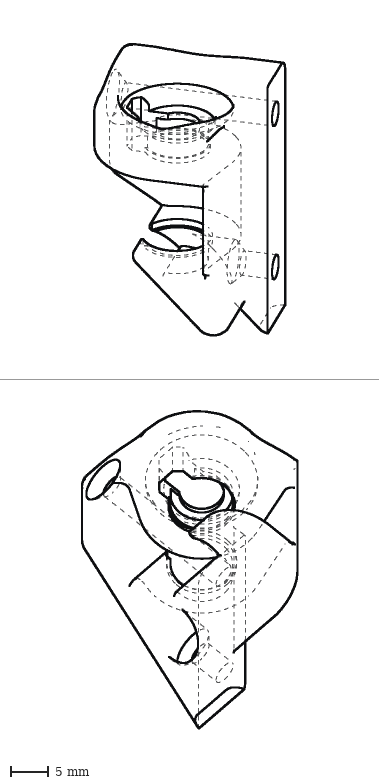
import cadquery as cq
import math

length = 22.5
depth = 23.0
height = 37.0
body_length = 19.8
flange_front = 14.05
slope_sum = 20.83
roof_z = 28.05
floor_z = 15.02

nose_radius = 10.0
keel_radius = 5.0
edge_radius = 2.0
back_radius = 1.5
crook_radius = 1.0
lip_radius = 0.48
lip_end_gap = 0.05

axis_x = 11.0
axis_y = 10.5
dish_radius = 12.17
dish_arc = 6.35
seat_radius = 7.5
seat_z = 33.85
seat_lip = 0.95
cup_radius = 5.07
cup_z = 31.82
cup_chamfer = 1.0
cup_lip = 1.1
hole_diameter = 6.0
relief_radius = 4.18
relief_z = 30.9
relief_mouth_radius = 4.45
relief_mouth_z = 28.75
slot_width = 4.6
slot_end_x = 4.35
slot_chamfer = 1.0
pocket_radius = 4.15
pocket_z = 11.32
pocket_rim_radius = 4.7
pocket_rim_z = 14.05

recess_radius = 8.5
left_wall_angle = math.radians(30)
right_wall_angle = math.radians(15)
wall_corner_radius = 1.5
jaw_corner_radius = 0.8

screw_y = depth - 5.0
screw_diameter = 3.3
high_screw_z = 31.05
high_sink_diameter = 6.5
low_screw_z = 8.1
low_sink_diameter = 6.0
low_sink_x = 16.65

clear = 7.4
slope_mid = slope_sum / 2
recess_mid_z = (floor_z + roof_z) / 2
cap_mid_z = (roof_z + height) / 2
left_wall_x = axis_x - recess_radius * math.sin(left_wall_angle)
left_wall_y = axis_y + recess_radius * math.cos(left_wall_angle)
right_wall_x = axis_x + recess_radius * math.cos(right_wall_angle)
right_wall_y = axis_y - recess_radius * math.sin(right_wall_angle)


def left_wall_at(x):
    """Y of the left recess wall at a given X."""
    return left_wall_y - (left_wall_x - x) * math.tan(left_wall_angle)


def right_wall_at(y):
    """X of the right recess wall at a given Y."""
    return right_wall_x - (right_wall_y - y) * math.tan(right_wall_angle)


def rounded(shape, radius, *points):
    """Round the edges whose middles are nearest to the given points."""
    edges = [shape.edges(cq.selectors.NearestToPointSelector(point)).val() for point in points]
    return shape.newObject(edges).fillet(radius)


def slab(z_low, z_high, x_low=0.0, x_high=length):
    """Full-depth block between two heights."""
    corner = cq.Workplane("XY", origin=(x_low, 0, z_low))
    return corner.rect(x_high - x_low, depth, centered=False).extrude(z_high - z_low)


def on_axis(radius, z_low, z_high):
    """Cylinder on the bore axis."""
    return cq.Workplane("XY", origin=(axis_x, axis_y, z_low)).circle(radius).extrude(z_high - z_low)


def wedge(right, front):
    """Block from a front face to the back, with its underside sloping down to the right."""
    outline = cq.Workplane("XZ", origin=(0, depth, 0)).moveTo(right, height)
    outline = outline.lineTo(0, height).lineTo(0, slope_sum)
    if right > slope_sum:
        outline = outline.lineTo(slope_sum, 0)
    return outline.lineTo(right, max(slope_sum - right, 0)).close().extrude(depth - front)


def make_lower_block():
    """Body and flange with a rounded sloping underside, before the recess is opened."""
    body = rounded(wedge(body_length, 0), keel_radius, (slope_mid, 0, slope_mid))
    body = rounded(
        body,
        edge_radius,
        (body_length, 0, recess_mid_z),
        (body_length, keel_radius / 2, keel_radius),
        (body_length, depth / 2, slope_sum - body_length),
    )
    flange = rounded(wedge(length, flange_front), edge_radius, (slope_mid, flange_front, slope_mid))
    block = body.union(flange).clean().intersect(slab(0, roof_z + lip_radius))
    block = rounded(block, crook_radius, (body_length, flange_front, recess_mid_z))
    block = rounded(block, back_radius, (0, depth, roof_z), (slope_mid, depth, slope_mid))
    return rounded(block, edge_radius, (0, depth - clear, slope_sum))


def make_recess_cutter():
    """Full-height prism with the plan shape of the recess."""
    return (
        cq.Workplane("XY")
        .moveTo(left_wall_x, left_wall_y)
        .threePointArc((axis_x, axis_y + recess_radius), (right_wall_x, right_wall_y))
        .lineTo(right_wall_at(-clear), -clear)
        .lineTo(-clear, -clear)
        .lineTo(-clear, left_wall_at(-clear))
        .close()
        .extrude(height)
    )


def make_recess_walls(block):
    """Walls around the recess; they reach past its floor and roof to fill the rounded lips there."""
    walls = block.cut(make_recess_cutter())
    bottom_z = floor_z - 2 * lip_radius
    split_x = axis_x + clear / 2
    left = walls.intersect(slab(pocket_z, height, 0, split_x))
    wall_foot_x = left_wall_x / 2
    left = rounded(
        left,
        wall_corner_radius,
        (wall_foot_x, left_wall_at(wall_foot_x), slope_sum - wall_foot_x),
        (0, left_wall_at(0), roof_z - lip_radius),
    )
    left = left.intersect(slab(bottom_z, height))
    right = walls.intersect(slab(bottom_z, height, split_x))
    right = rounded(right, jaw_corner_radius, (right_wall_at(0), 0, recess_mid_z))
    return left.union(right).clean()


def make_shelf(block):
    """Lower part up to the recess floor, with a rounded lip along the open floor edges."""
    shelf = block.intersect(slab(0, floor_z))
    slope_x = slope_sum - floor_z
    split_x = body_length - edge_radius - lip_end_gap
    front = shelf.intersect(slab(0, floor_z, 0, split_x))
    front = rounded(
        front,
        lip_radius,
        (slope_x, depth / 2, floor_z),
        (slope_x + keel_radius / 2, keel_radius / 3, floor_z),
        (right_wall_at(0) - edge_radius, 0, floor_z),
    )
    return front.union(shelf.intersect(slab(0, floor_z, split_x)))


def make_dish():
    """Trumpet-shaped hollow whose side is an arc tangent to the flat top."""
    arc_z = height - dish_arc
    inner_radius = dish_radius - math.sqrt(dish_arc**2 - (seat_z - arc_z) ** 2)
    return (
        cq.Workplane("XZ")
        .moveTo(0, seat_z)
        .lineTo(inner_radius, seat_z)
        .radiusArc((dish_radius, height), dish_arc)
        .lineTo(dish_radius, height + clear)
        .lineTo(0, height + clear)
        .close()
        .revolve(360, (0, 0, 0), (0, 1, 0))
        .translate((axis_x, axis_y, 0))
    )


def make_cap():
    """Upper storey with the dished top, the bearing seat and its rounded edges."""
    cap = (
        cq.Workplane("XY", origin=(0, 0, roof_z))
        .moveTo(0, depth)
        .lineTo(0, nose_radius)
        .radiusArc((nose_radius, 0), -nose_radius)
        .lineTo(body_length, 0)
        .lineTo(body_length, flange_front)
        .lineTo(length, flange_front)
        .lineTo(length, depth)
        .close()
        .extrude(height - roof_z)
    )
    cap = rounded(cap, crook_radius, (body_length, flange_front, cap_mid_z))
    cap = cap.cut(make_dish())
    cap = rounded(cap, edge_radius, (0, depth, height), (length / 2, depth, height))
    cap = rounded(cap, back_radius, (0, depth, cap_mid_z))
    cap = rounded(cap, lip_radius, (body_length, flange_front / 2, height))
    cap = rounded(cap, lip_radius, (0, (nose_radius + depth) / 2, roof_z))

    column = rounded(slab(0, height, 0, body_length), edge_radius, (body_length, 0, height / 2))
    rear = slab(0, height).cut(slab(0, height).translate((0, flange_front - crook_radius - depth, 0)))
    cap = cap.intersect(column.union(rear))

    cap = cap.cut(on_axis(seat_radius, seat_z, height))
    longest_rim_arc_middle = (axis_x - seat_lip, axis_y + edge_radius, height - edge_radius)
    return rounded(cap, seat_lip, longest_rim_arc_middle)


def cut_cup_and_keyhole(part):
    """Cup below the seat, the hole with its relief and the slot that opens them to the left."""
    part = part.cut(on_axis(cup_radius, cup_z, seat_z))
    seat_face = part.faces(cq.selectors.NearestToPointSelector((axis_x, axis_y, seat_z)))
    part = seat_face.edges(cq.selectors.RadiusNthSelector(0)).chamfer(cup_chamfer)
    part = rounded(part, cup_lip, (axis_x, axis_y, seat_z), (axis_x, axis_y, seat_z - cup_chamfer))
    part = part.cut(on_axis(hole_diameter / 2, roof_z, cup_z))
    part = part.cut(on_axis(relief_radius, roof_z, relief_z))
    part = part.cut(on_axis(relief_mouth_radius, roof_z, relief_mouth_z))
    slot = (
        cq.Workplane("XY", origin=(slot_end_x, axis_y, pocket_z))
        .rect(axis_x - slot_end_x, slot_width, centered=(False, True))
        .extrude(height - pocket_z)
        .edges("|Z and <X")
        .chamfer(slot_chamfer)
    )
    return part.cut(slot)


def cut_pocket(part):
    """Stepped round pocket in the recess floor, breaking out through the sloping underside."""
    part = part.cut(on_axis(pocket_radius, pocket_z, floor_z))
    part = part.cut(on_axis(pocket_rim_radius, pocket_rim_z, floor_z))

    lower_x = slope_sum - pocket_z
    side_x = lower_x - lip_radius * 2
    side_reach = math.sqrt(pocket_radius**2 - (axis_x - side_x) ** 2)
    return rounded(
        part,
        lip_radius,
        (lower_x, axis_y, pocket_z),
        (side_x, axis_y + side_reach, slope_sum - side_x),
        (side_x, axis_y - side_reach, slope_sum - side_x),
    )


def screw_cutter(z, sink_x, sink_diameter):
    """Through hole with a 90 degree countersink whose mouth lies at sink_x."""
    sink_depth = (sink_diameter - screw_diameter) / 2
    cutter = cq.Workplane("YZ", origin=(0, screw_y, z)).circle(screw_diameter / 2).extrude(length)
    cone = (
        cq.Workplane("YZ", origin=(sink_x, screw_y, z))
        .circle(sink_diameter / 2)
        .workplane(offset=sink_depth)
        .circle(screw_diameter / 2)
        .loft()
    )
    cutter = cutter.union(cone)
    if sink_x > 0:
        access = cq.Workplane("YZ", origin=(0, screw_y, z)).circle(sink_diameter / 2).extrude(sink_x)
        cutter = cutter.union(access)
    return cutter


def cut_screw_holes(part):
    """Two countersunk holes; the lower one has a rounded mouth in the sloping underside."""
    part = part.cut(screw_cutter(high_screw_z, 0, high_sink_diameter))
    part = part.cut(screw_cutter(low_screw_z, low_sink_x, low_sink_diameter))
    return rounded(part, lip_radius, (slope_sum - low_screw_z, screw_y, low_screw_z))


lower_block = make_lower_block()
result = make_shelf(lower_block).union(make_recess_walls(lower_block)).union(make_cap())
result = cut_cup_and_keyhole(result)
result = cut_pocket(result)
result = cut_screw_holes(result)